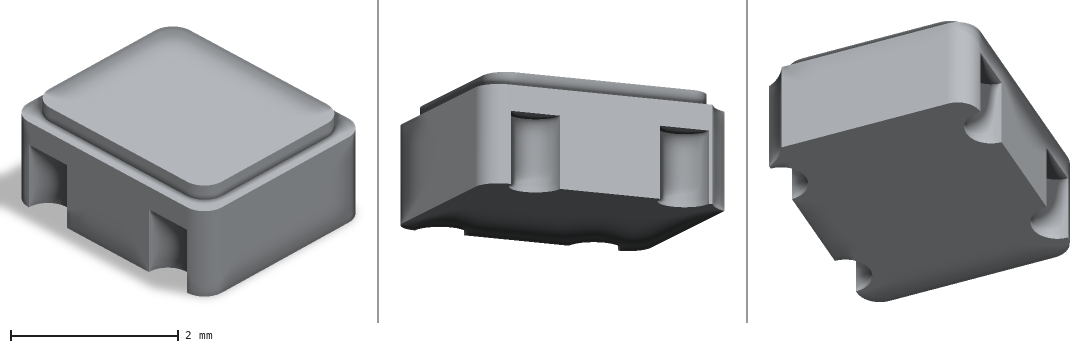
import cadquery as cq

LENGTH = 3.25
WIDTH = 2.74
TOTAL_HEIGHT = 1.42
LID_HEIGHT = 0.2
BASE_HEIGHT = TOTAL_HEIGHT - LID_HEIGHT
LID_INSET = 0.18
CORNER_RADIUS = 0.295

NOTCH_LEG = 0.283
NOTCH_RADIUS = 0.6

FRONT_PAD_SPACING = 2.015
BACK_PAD_SPACING = 1.95
PAD_HEIGHT = 0.897
PAD_OUTER_RADIUS = 0.355
PAD_THICKNESS = 0.032
PAD_INNER_RADIUS = PAD_OUTER_RADIUS - PAD_THICKNESS

PAD_AXES = [
    (x_side * spacing / 2, y)
    for spacing, y in ((FRONT_PAD_SPACING, -WIDTH / 2), (BACK_PAD_SPACING, WIDTH / 2))
    for x_side in (-1, 1)
]


def make_base_blank():
    """Block with three rounded corners and one concave notched corner."""
    left = -LENGTH / 2
    back = WIDTH / 2
    block = cq.Workplane("XY").rect(LENGTH, WIDTH).extrude(BASE_HEIGHT)
    block = block.edges("|Z").edges(">X or <Y").fillet(CORNER_RADIUS)
    notch = (
        cq.Workplane("XY")
        .moveTo(left, back - NOTCH_LEG)
        .radiusArc((left + NOTCH_LEG, back), -NOTCH_RADIUS)
        .lineTo(left, back)
        .close()
        .extrude(BASE_HEIGHT)
    )
    return block.cut(notch)


def make_lid_step():
    """Rounded plate on top of the base."""
    return (
        cq.Workplane("XY", origin=(0, 0, BASE_HEIGHT))
        .rect(LENGTH - 2 * LID_INSET, WIDTH - 2 * LID_INSET)
        .extrude(LID_HEIGHT)
        .edges("|Z")
        .fillet(CORNER_RADIUS)
    )


def pad_cylinder(axis, radius):
    """Upright cylinder as tall as a pad."""
    return cq.Workplane("XY").center(*axis).circle(radius).extrude(PAD_HEIGHT)


def make_package(base_blank):
    """Base and lid step in one piece, with a recess for each pad."""
    package = base_blank.union(make_lid_step())
    for axis in PAD_AXES:
        package = package.cut(pad_cylinder(axis, PAD_OUTER_RADIUS))
    return package


def make_pad(base_blank, axis):
    """Thin curved plating that lines one recess, flush with the base outline."""
    shell = pad_cylinder(axis, PAD_OUTER_RADIUS).cut(pad_cylinder(axis, PAD_INNER_RADIUS))
    return shell.intersect(base_blank)


base_blank = make_base_blank()
package = make_package(base_blank)
pads = [make_pad(base_blank, axis) for axis in PAD_AXES]

result = cq.Compound.makeCompound([package.val(), *[pad.val() for pad in pads]])